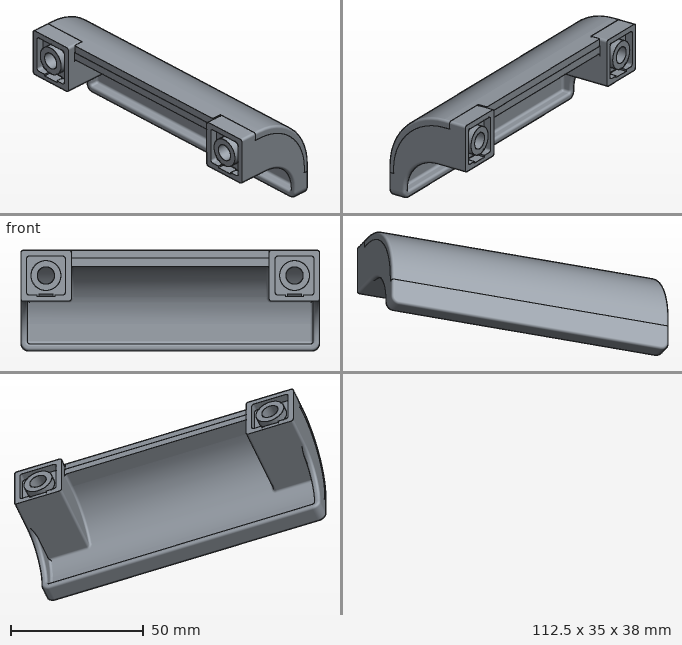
import cadquery as cq
import math


length = 112.5
depth = 35.0
height = 38.0
outer_radius = 25.2
corner_radius = 3.0
edge_radius = 1.0

foot_width = 19.0
foot_height = 19.2
foot_setback = 3.2
grip_thickness = 7.2
grip_radius = 14.8

cover_top_thickness = 3.0
cover_front_thickness = 2.1
cover_drop = 28.1
cover_joint = 7.2
tongue_radius = 0.6

hollow_drop = 6.1
floor_radius = 21.8
end_wall = 2.5
bottom_wall = 2.7

screw_inset = 9.5
screw_drop = 9.6
recess_side = 14.6
recess_depth = 3.0
boss_diameter = 11.2
hole_diameter = 6.5

slot_width = 6.6
slot_reach = 0.7
catch_width = 5.4
catch_size = 1.0

half_length = length / 2
arc_start = depth - outer_radius
foot_side = half_length - foot_width
screw_x = half_length - screw_inset
recess_bottom = -screw_drop - recess_side / 2
clearance = 5.6
tolerance = 0.01


def box(x_limits, y_limits, z_limits):
    """Box between pairs of limits."""
    limits = (x_limits, y_limits, z_limits)
    sizes = [high - low for low, high in limits]
    corner = tuple(low for low, high in limits)
    return cq.Workplane("XY").box(*sizes, centered=False).translate(corner)


def within(half_width, y_limits, z_limits):
    """Selector for edges whose middle lies inside a box centred on X = 0."""
    low = (-half_width - tolerance, y_limits[0] - tolerance, z_limits[0] - tolerance)
    high = (half_width + tolerance, y_limits[1] + tolerance, z_limits[1] + tolerance)
    return cq.selectors.BoxSelector(low, high)


def top_to_front(outline, y_start, z_top, radius):
    """Continue a YZ outline with a quarter arc from a level stretch down to an upright one."""
    reach = radius * math.sqrt(0.5)
    middle = (y_start + reach, z_top - radius + reach)
    return outline.lineTo(y_start, z_top).threePointArc(middle, (y_start + radius, z_top - radius))


def make_envelope():
    """Outside shape of the whole handle as one piece, before the hollow and the joint."""
    grip_face = depth - grip_thickness
    outline = top_to_front(cq.Workplane("YZ"), arc_start, 0, outer_radius)
    outline = outline.lineTo(depth, -height).lineTo(grip_face, -height).lineTo(grip_face, -foot_height)
    outline = outline.lineTo(0, -foot_height).close()
    solid = outline.extrude(half_length, both=True)
    grip_edge = within(0, (grip_face, grip_face), (-foot_height, -foot_height))
    solid = solid.edges(grip_edge).fillet(grip_radius)
    solid = solid.edges("|Y and <Z").fillet(corner_radius)
    solid = solid.faces("<X or >X").edges("not <Y").fillet(edge_radius)
    front = box((-foot_side, foot_side), (-clearance, foot_setback), (-foot_height / 2, clearance))
    return solid.cut(front)


def make_cover_zone():
    """Space taken by the cover, with a tongue that fills the width between the feet."""
    arc_radius = depth - cover_front_thickness - arc_start
    outline = cq.Workplane("YZ").moveTo(cover_joint, -cover_top_thickness)
    outline = top_to_front(outline, arc_start, -cover_top_thickness, arc_radius)
    outline = outline.lineTo(depth - cover_front_thickness, -cover_drop)
    outline = outline.lineTo(depth + clearance, -cover_drop).lineTo(depth + clearance, clearance)
    outline = outline.lineTo(cover_joint, clearance).close()
    shell = outline.extrude(half_length + clearance, both=True)
    tongue = box((-foot_side, foot_side), (0, cover_joint), (-cover_top_thickness, clearance))
    return shell.union(tongue)


def make_hollow_opening():
    """Outline of the hollow as seen from the mounting side: between the feet, then inside the rim."""
    inner_half = half_length - end_wall
    y_limits = (-clearance, depth)
    wide = box((-inner_half, inner_half), y_limits, (bottom_wall - height, -foot_height))
    between = box((-foot_side, foot_side), y_limits, (-foot_height, 0))
    opening = wide.union(between).edges("|Y")
    foot_corners = within(foot_side, y_limits, (-foot_height, -foot_height))
    opening = opening.edges(foot_corners).fillet(edge_radius)
    return opening.edges("|Y and <Z").fillet(edge_radius)


def make_hollow():
    """Space between the feet and inside the rim, down to a floor that follows the outer curve."""
    floor = cq.Workplane("YZ").moveTo(-clearance, -hollow_drop)
    floor = top_to_front(floor, arc_start, -hollow_drop, floor_radius)
    floor_y = arc_start + floor_radius
    floor = floor.lineTo(floor_y, -height).lineTo(-clearance, -height).close()
    below_floor = floor.extrude(half_length, both=True)
    hollow = below_floor.intersect(make_hollow_opening())
    floor_edges = hollow.edges(within(half_length, (depth / 2, depth), (-height, 0))).edges("not |X")
    return floor_edges.fillet(edge_radius)


def make_recess():
    """Screw recess of one foot, centred on X = 0: pocket round a boss, catch slot and screw hole."""
    axis = cq.Workplane("XZ").center(0, -screw_drop)
    pocket = axis.rect(recess_side, recess_side).extrude(-recess_depth).edges("|Y").fillet(edge_radius)
    boss = axis.circle(boss_diameter / 2).extrude(-recess_depth)
    hole = axis.circle(hole_diameter / 2).extrude(-depth)
    slot_floor = recess_bottom - slot_reach
    slot = box((-slot_width / 2, slot_width / 2), (0, recess_depth), (slot_floor, recess_bottom))
    catch = (
        cq.Workplane("YZ")
        .moveTo(recess_depth, slot_floor)
        .lineTo(recess_depth + catch_size, slot_floor)
        .lineTo(recess_depth, slot_floor + catch_size)
        .close()
        .extrude(catch_width / 2, both=True)
    )
    return pocket.cut(boss).union(slot).union(catch).union(hole)


def make_base():
    """Handle body with both feet, hollowed behind the grip and stepped down under the cover."""
    rim_y = depth - grip_thickness
    inner_half = half_length - end_wall
    solid = make_envelope().cut(make_hollow())
    rim_z = (bottom_wall - height, -foot_height - edge_radius)
    rim_edges = within(inner_half, (grip_radius, rim_y), rim_z)
    solid = solid.edges(rim_edges).fillet(edge_radius)
    solid = solid.cut(make_cover_zone())
    foot_top = within(foot_side, (0, cover_joint), (0, 0))
    solid = solid.edges("|Y").edges(foot_top).fillet(edge_radius)
    for x in (-screw_x, screw_x):
        solid = solid.cut(make_recess().translate((x, 0, 0)))
    return solid


def make_cover():
    """Curved strip over the top and the outer face, with a tongue between the feet."""
    solid = make_envelope().intersect(make_cover_zone())
    tongue_corners = within(foot_side, (foot_setback, foot_setback), (-cover_top_thickness, 0))
    return solid.edges("|Z").edges(tongue_corners).fillet(tongue_radius)


base = make_base()
cover = make_cover()
result = cq.Compound.makeCompound([base.solids().val(), cover.solids().val()])